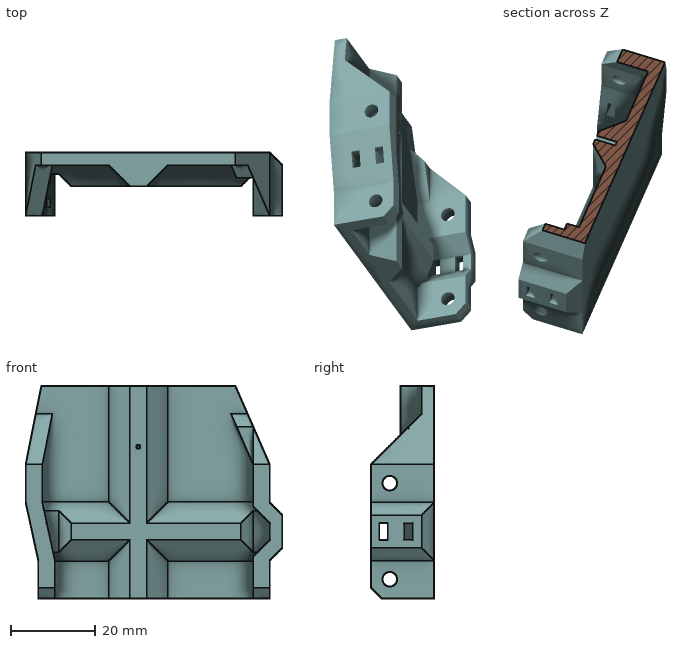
import cadquery as cq

width = 61.1
depth = 15.1
height = 50.6
plate_thickness = 3.0

wall = 4.0
side_inset = 3.0
bend_low = 9.05
bend_high = 22.85
shoulder = 31.9
flange_top = 43.95
foot_chamfer = 2.55
top_left = 3.7
top_right = 49.9
right_side = width - side_inset
right_inner = right_side - wall
gusset_depth = 6.05

rib_x = 26.8
rib_z = (bend_low + bend_high) / 2
rib_top_width = 4.0
rib_half_top = rib_top_width / 2
rib_depth = 8.05
rib_half_base = rib_half_top + rib_depth - plate_thickness
rib_end_depth = 5.15
rib_end_run = rib_depth - rib_end_depth
rib_left_end = 7.95

bolt_diameter = 3.4
bolt_depth = 10.6
bolt_heights = (4.6, 27.45)
slot_width = 2.0
slot_starts = (rib_end_depth, 11.05)
slot_height = rib_top_width
pin_diameter = 1.0
pin_height = 36.1
pin_hole_depth = rib_depth - plate_thickness

left_edge = [
    (side_inset, 0),
    (side_inset, bend_low),
    (0, bend_high),
    (0, shoulder),
    (top_left, height),
]
right_edge = [
    (right_side, 0),
    (right_side, bend_low),
    (width, bend_low + side_inset),
    (width, bend_high - side_inset),
    (right_side, bend_high),
    (right_side, shoulder),
    (top_right, height),
]
pocket_half = rib_half_top + wall
right_inner_edge = [
    (right_inner, 0),
    (right_inner, rib_z - pocket_half),
    (right_side, rib_z - rib_half_top),
    (right_side, rib_z + rib_half_top),
    (right_inner, rib_z + pocket_half),
    (right_inner, shoulder),
    (top_right - wall, height),
]


def extrude_forward(outline, length):
    """Extrude an XZ outline from the back plane towards -Y."""
    return cq.Workplane("XZ").polyline(outline).close().extrude(length)


def box_between(x_range, depth_range, z_range):
    """Box given by its X, depth and Z limits."""
    sizes = [end - start for start, end in (x_range, depth_range, z_range)]
    return (
        cq.Workplane("XY")
        .box(*sizes, centered=False)
        .translate((x_range[0], -depth_range[1], z_range[0]))
    )


def make_flanges():
    left_inner_edge = [(x + wall, z) for x, z in left_edge]
    left = extrude_forward(left_edge + left_inner_edge[::-1], depth)
    right = extrude_forward(right_edge + right_inner_edge[::-1], depth)
    leaning_part = box_between(
        (top_right - wall, right_inner), (gusset_depth, depth), (shoulder, height)
    )
    side_profile = (
        cq.Workplane("YZ")
        .polyline([
            (0, 0),
            (foot_chamfer - depth, 0),
            (-depth, foot_chamfer),
            (-depth, shoulder),
            (-plate_thickness, flange_top),
            (0, flange_top),
        ])
        .close()
        .extrude(width)
    )
    flanges = left.union(right.cut(leaning_part)).intersect(side_profile)
    for bolt_height in bolt_heights:
        bolt = (
            cq.Workplane("YZ")
            .center(-bolt_depth, bolt_height)
            .circle(bolt_diameter / 2)
            .extrude(width)
        )
        flanges = flanges.cut(bolt)
    for start in slot_starts:
        slot = box_between(
            (0, width),
            (start, start + slot_width),
            (rib_z - slot_height / 2, rib_z + slot_height / 2),
        )
        flanges = flanges.cut(slot)
    return flanges


def rib_section(center):
    """Trapezoid across a rib, as pairs of position across the rib and y."""
    return [
        (center - rib_half_base, -plate_thickness),
        (center - rib_half_top, -rib_depth),
        (center + rib_half_top, -rib_depth),
        (center + rib_half_base, -plate_thickness),
    ]


def make_upright_rib():
    return cq.Workplane("XY").polyline(rib_section(rib_x)).close().extrude(height)


def make_cross_rib(plate_outline):
    section = [(y, z) for z, y in rib_section(rib_z)]
    rib = cq.Workplane("YZ").polyline(section).close().extrude(width)
    end_profile = (
        cq.Workplane("XY")
        .polyline([
            (0, 0),
            (0, -rib_end_depth),
            (rib_left_end, -rib_end_depth),
            (rib_left_end + rib_end_run, -rib_depth),
            (right_inner - rib_end_run, -rib_depth),
            (right_inner, -rib_end_depth),
            (width, -rib_end_depth),
            (width, 0),
        ])
        .close()
        .extrude(height)
    )
    return rib.intersect(end_profile).intersect(extrude_forward(plate_outline, depth))


def make_bulge_corner():
    """Wedge that bevels the bulge of the right flange along the back."""
    return (
        cq.Workplane("XY")
        .polyline([(right_side, 0), (width, 0), (width, -side_inset)])
        .close()
        .extrude(height)
    )


plate_outline = left_edge + right_edge[::-1]
plate = extrude_forward(plate_outline, plate_thickness)
pin_hole = (
    cq.Workplane("XZ", origin=(rib_x, -rib_depth, pin_height))
    .circle(pin_diameter / 2)
    .extrude(-pin_hole_depth)
)

result = (
    plate.union(make_flanges())
    .union(make_upright_rib())
    .union(make_cross_rib(plate_outline))
    .cut(pin_hole)
    .cut(make_bulge_corner())
)